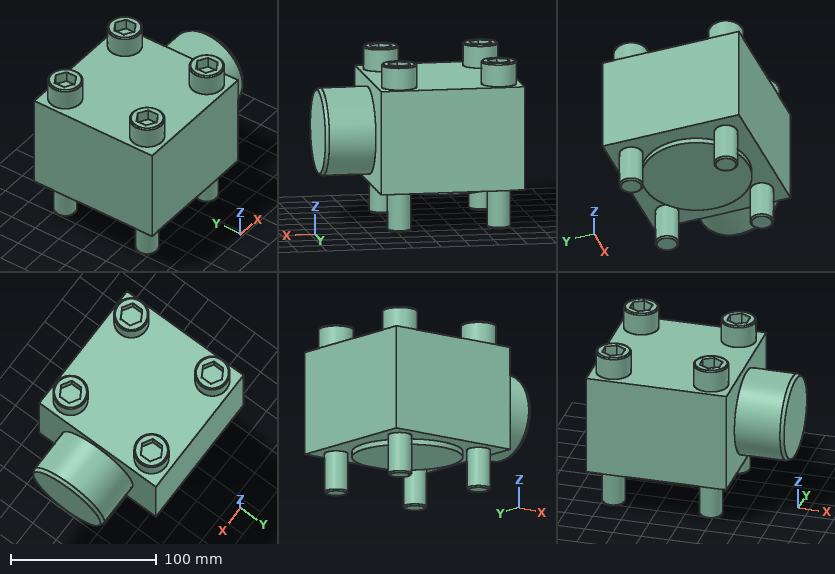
import cadquery as cq
import math

block_side = 100.0
block_height = 72.0

total_length = 135.0
pipe_diameter = 60.3
pipe_length = total_length - block_side
pipe_chamfer_length = 2.5
pipe_chamfer_depth = 1.4

spigot_diameter = 76.0
spigot_height = 3.8

screw_pitch = 69.4
head_diameter = 24.0
head_height = 16.0
head_chamfer = 1.0
shank_diameter = 16.0
shank_length = 28.0
shank_chamfer = 1.1
socket_across_flats = 14.0
socket_depth = 8.0


def make_block():
    return cq.Workplane("XY").box(block_side, block_side, block_height, centered=(True, True, False))


def make_pipe():
    """Solid stub along +X with a bevelled free end."""
    radius = pipe_diameter / 2
    start = block_side / 2
    end = start + pipe_length
    profile = [
        (start, 0),
        (start, radius),
        (end - pipe_chamfer_length, radius),
        (end, radius - pipe_chamfer_depth),
        (end, 0),
    ]
    pipe = cq.Workplane("XY").polyline(profile).close().revolve(360, (0, 0, 0), (1, 0, 0))
    return pipe.translate((0, 0, block_height / 2))


def make_spigot():
    return cq.Workplane("XY").circle(spigot_diameter / 2).extrude(-spigot_height)


def make_screw():
    """Visible head and shank; the block fills the gap between them."""
    head = (
        cq.Workplane("XY", origin=(0, 0, block_height))
        .circle(head_diameter / 2)
        .extrude(head_height)
        .faces(">Z")
        .chamfer(head_chamfer)
    )
    across_corners = socket_across_flats / math.cos(math.pi / 6)
    socket = (
        cq.Workplane("XY", origin=(0, 0, block_height + head_height))
        .transformed(rotate=(0, 0, 90))
        .polygon(6, across_corners)
        .extrude(-socket_depth)
    )
    shank = (
        cq.Workplane("XY")
        .circle(shank_diameter / 2)
        .extrude(-shank_length)
        .faces("<Z")
        .chamfer(shank_chamfer)
    )
    return head.cut(socket), shank


result = make_block().union(make_pipe()).union(make_spigot())
head, shank = make_screw()
for x in (-screw_pitch / 2, screw_pitch / 2):
    for y in (-screw_pitch / 2, screw_pitch / 2):
        result = result.union(head.translate((x, y, 0))).union(shank.translate((x, y, 0)))